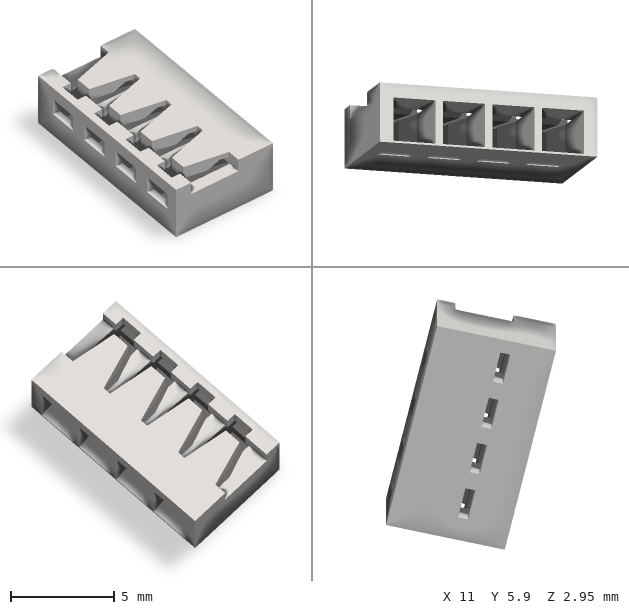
import cadquery as cq

LENGTH = 11.0
DEPTH = 5.9
HEIGHT = 2.95

POSITIONS = 4
CHANNEL_RIGHT = 2.79
LAST_CHANNEL_RIGHT = 10.3
PITCH = (LAST_CHANNEL_RIGHT - CHANNEL_RIGHT) / (POSITIONS - 1)

RECESS_DEPTH = 0.7
RECESS_FLOOR = HEIGHT - RECESS_DEPTH
RIM_BACK = 0.91
REAR_BLOCK_FRONT = 3.8

ARM_ROOT_LEFT = 0.66
ARM_ROOT_RIGHT = 2.74
ARM_TIP_LEFT = 1.41
ARM_TIP_RIGHT = 2.32
ARM_TIP = 1.34
ARM_ROOT_THICKNESS = 0.3
ARM_THIN_END = 3.3
ARM_FULL_START = 2.64

CHANNEL_LEFT_FRONT = 1.19
CHANNEL_LEFT_REAR = 0.68
CHANNEL_NARROWED = ARM_TIP
CHANNEL_WIDENED = 2.79
CHANNEL_FLOOR = 0.75
FRONT_WALL = 0.41

WINDOW_BOTTOM = 1.32
RIM_NOTCH_LEFT = 1.42
RIM_NOTCH_RIGHT = 2.62

REAR_FLOOR = 0.1

FLOOR_HOLE_FRONT = 3.3


def box(x_start, x_end, y_start, y_end, z_start, z_end):
    """Axis-aligned box between the given limits."""
    size = (x_end - x_start, y_end - y_start, z_end - z_start)
    return cq.Workplane("XY").box(*size, centered=False).translate((x_start, y_start, z_start))


def side_prism(profile, x_start, x_end):
    """Prism along X over a (Y, Z) profile."""
    return cq.Workplane("YZ").workplane(offset=x_start).polyline(profile).close().extrude(x_end - x_start)


def latch_arm():
    """Tapered arm, thinned underneath where it joins the rear block."""
    plan = [
        (ARM_ROOT_LEFT, REAR_BLOCK_FRONT),
        (ARM_TIP_LEFT, ARM_TIP),
        (ARM_TIP_RIGHT, ARM_TIP),
        (ARM_ROOT_RIGHT, REAR_BLOCK_FRONT),
    ]
    taper = cq.Workplane("XY").workplane(offset=RECESS_FLOOR).polyline(plan).close().extrude(RECESS_DEPTH)
    thin_underside = HEIGHT - ARM_ROOT_THICKNESS
    profile = [
        (REAR_BLOCK_FRONT, HEIGHT),
        (ARM_TIP, HEIGHT),
        (ARM_TIP, RECESS_FLOOR),
        (ARM_FULL_START, RECESS_FLOOR),
        (ARM_THIN_END, thin_underside),
        (REAR_BLOCK_FRONT, thin_underside),
    ]
    return taper.intersect(side_prism(profile, ARM_ROOT_LEFT, ARM_ROOT_RIGHT))


def contact_channel():
    """Channel that widens on its left side and drops down a ramp to the open rear."""
    plan = [
        (CHANNEL_LEFT_FRONT, FRONT_WALL),
        (CHANNEL_RIGHT, FRONT_WALL),
        (CHANNEL_RIGHT, DEPTH),
        (CHANNEL_LEFT_REAR, DEPTH),
        (CHANNEL_LEFT_REAR, CHANNEL_WIDENED),
        (CHANNEL_LEFT_FRONT, CHANNEL_NARROWED),
    ]
    outline = cq.Workplane("XY").polyline(plan).close().extrude(RECESS_FLOOR)
    profile = [
        (FRONT_WALL, RECESS_FLOOR),
        (FRONT_WALL, CHANNEL_FLOOR),
        (CHANNEL_WIDENED, CHANNEL_FLOOR),
        (DEPTH, REAR_FLOOR),
        (DEPTH, RECESS_FLOOR),
    ]
    return outline.intersect(side_prism(profile, CHANNEL_LEFT_REAR, CHANNEL_RIGHT))


def front_window():
    return box(CHANNEL_LEFT_FRONT, CHANNEL_RIGHT, 0, FRONT_WALL, WINDOW_BOTTOM, RECESS_FLOOR)


def rim_notch():
    return box(RIM_NOTCH_LEFT, RIM_NOTCH_RIGHT, FRONT_WALL, RIM_BACK, RECESS_FLOOR, HEIGHT)


def floor_hole():
    return box(CHANNEL_LEFT_FRONT, CHANNEL_RIGHT, FLOOR_HOLE_FRONT, REAR_BLOCK_FRONT, 0, CHANNEL_FLOOR)


result = box(0, LENGTH, 0, DEPTH, 0, HEIGHT)
result = result.cut(box(0, LENGTH, RIM_BACK, REAR_BLOCK_FRONT, RECESS_FLOOR, HEIGHT))

for position in range(POSITIONS):
    shift = (position * PITCH, 0, 0)
    result = result.union(latch_arm().translate(shift))
    for cavity in (contact_channel(), front_window(), rim_notch(), floor_hole()):
        result = result.cut(cavity.translate(shift))